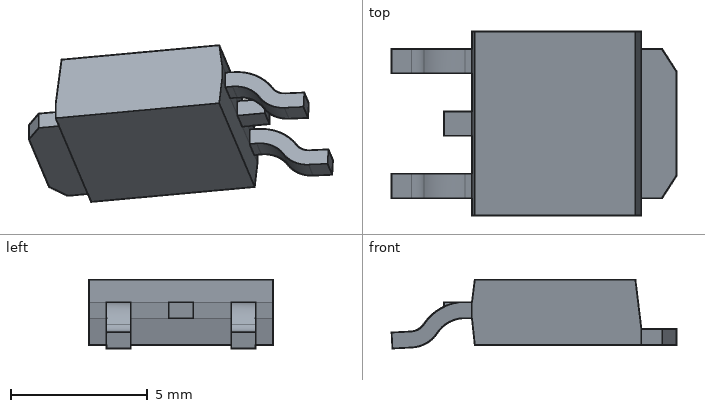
import cadquery as cq
import math

OVERALL_LENGTH = 10.42

HOUSING_WIDTH = 6.73
HOUSING_BOTTOM = 0.13
HOUSING_TOP = 2.52
WAIST_X = 2.94
BACK_X = 9.14
LEAD_SIDE_DRAFT = 0.1
TAB_SIDE_DRAFT = 0.22

METAL_THICKNESS = 0.59
LEAD_WIDTH = 0.9
LEAD_TOP = 1.7
LEAD_BOTTOM = LEAD_TOP - METAL_THICKNESS

TAB_WIDTH = 5.46
TAB_END_WIDTH = 3.81
TAB_CORNER_LENGTH = 0.53
TAB_TOP = HOUSING_BOTTOM + METAL_THICKNESS

LEAD_OFFSET = (TAB_WIDTH - LEAD_WIDTH) / 2
STUB_TIP_X = 1.92
UPPER_BEND_X = 2.68
UPPER_RADIUS = 1.2
LOWER_RADIUS = 0.59
BEND_ANGLE = math.radians(56.6)
FOOT_ANGLE = math.radians(3.0)


def polar(center, radius, angle):
    """Point at a radius from a center, with the angle measured from +Z toward -X."""
    return (center[0] - radius * math.sin(angle), center[1] + radius * math.cos(angle))


def extrude_across(profile, width, y_center=0.0):
    """Extrude a closed XZ profile symmetrically about y_center."""
    return profile.extrude(width / 2, both=True).translate((0, y_center, 0))


def make_housing():
    slope_start_x = WAIST_X + LEAD_SIDE_DRAFT
    profile = cq.Workplane("XZ").polyline([
        (slope_start_x, HOUSING_BOTTOM),
        (BACK_X, HOUSING_BOTTOM),
        (BACK_X, TAB_TOP),
        (BACK_X - TAB_SIDE_DRAFT, HOUSING_TOP),
        (slope_start_x, HOUSING_TOP),
        (WAIST_X, LEAD_TOP),
        (WAIST_X, LEAD_BOTTOM),
    ]).close()
    return extrude_across(profile, HOUSING_WIDTH)


def make_tab():
    corner_x = OVERALL_LENGTH - TAB_CORNER_LENGTH
    return (
        cq.Workplane("XY", origin=(0, 0, HOUSING_BOTTOM))
        .polyline([
            (BACK_X, -TAB_WIDTH / 2),
            (corner_x, -TAB_WIDTH / 2),
            (OVERALL_LENGTH, -TAB_END_WIDTH / 2),
            (OVERALL_LENGTH, TAB_END_WIDTH / 2),
            (corner_x, TAB_WIDTH / 2),
            (BACK_X, TAB_WIDTH / 2),
        ])
        .close()
        .extrude(METAL_THICKNESS)
    )


def make_stub():
    profile = cq.Workplane("XZ").moveTo(STUB_TIP_X, LEAD_BOTTOM).lineTo(WAIST_X, LEAD_BOTTOM)
    profile = profile.lineTo(WAIST_X, LEAD_TOP).lineTo(STUB_TIP_X, LEAD_TOP).close()
    return extrude_across(profile, LEAD_WIDTH)


def make_lead(y_center):
    upper_outside = UPPER_RADIUS + METAL_THICKNESS
    lower_outside = LOWER_RADIUS + METAL_THICKNESS
    upper_center = (UPPER_BEND_X, LEAD_BOTTOM - UPPER_RADIUS)
    lower_center = polar(upper_center, upper_outside + LOWER_RADIUS, BEND_ANGLE)
    upper_middle = BEND_ANGLE / 2
    lower_middle = (BEND_ANGLE + FOOT_ANGLE) / 2

    foot_top_end = polar(lower_center, -LOWER_RADIUS, FOOT_ANGLE)
    foot_bottom_end = polar(lower_center, -lower_outside, FOOT_ANGLE)
    foot_rise = foot_top_end[0] * math.tan(FOOT_ANGLE)
    tip_top = (0.0, foot_top_end[1] - foot_rise)
    tip_bottom = (foot_bottom_end[0] - foot_top_end[0], foot_bottom_end[1] - foot_rise)

    profile = (
        cq.Workplane("XZ")
        .moveTo(WAIST_X, LEAD_TOP)
        .lineTo(UPPER_BEND_X, LEAD_TOP)
        .threePointArc(polar(upper_center, upper_outside, upper_middle),
                       polar(upper_center, upper_outside, BEND_ANGLE))
        .threePointArc(polar(lower_center, -LOWER_RADIUS, lower_middle), foot_top_end)
        .lineTo(*tip_top)
        .lineTo(*tip_bottom)
        .lineTo(*foot_bottom_end)
        .threePointArc(polar(lower_center, -lower_outside, lower_middle),
                       polar(upper_center, UPPER_RADIUS, BEND_ANGLE))
        .threePointArc(polar(upper_center, UPPER_RADIUS, upper_middle), (UPPER_BEND_X, LEAD_BOTTOM))
        .lineTo(WAIST_X, LEAD_BOTTOM)
        .close()
    )
    return extrude_across(profile, LEAD_WIDTH, y_center)


housing = make_housing()
tab = make_tab()
stub = make_stub()
leads = [make_lead(side * LEAD_OFFSET) for side in (-1, 1)]

result = cq.Compound.makeCompound([
    housing.val(),
    tab.val(),
    stub.val(),
    *[lead.val() for lead in leads],
])